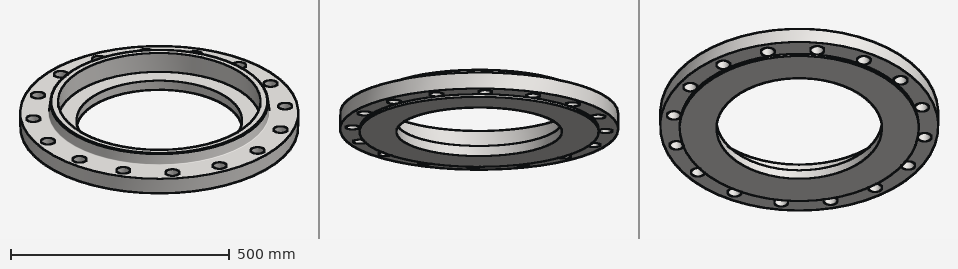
import cadquery as cq

flange_diameter = 635.0
flange_thickness = 38.0

face_diameter = 546.0
face_height = 6.5

hub_base_diameter = 503.5
hub_top_diameter = 497.0
hub_height = 28.5
hub_chamfer = 2.0
hub_base_fillet = 2.0

bore_diameter = 378.0
socket_diameter = 462.0
lip_thickness = 24.0

bolt_count = 16
bolt_circle_diameter = 578.0
bolt_hole_diameter = 32.0

bottom_z = -face_height
lip_z = bottom_z + lip_thickness
hub_base_z = flange_thickness
top_z = hub_base_z + hub_height


def make_ring():
    """Revolve the half section of plate, raised face, hub and stepped bore."""
    section = [
        (bore_diameter / 2, bottom_z),
        (face_diameter / 2, bottom_z),
        (face_diameter / 2, 0),
        (flange_diameter / 2, 0),
        (flange_diameter / 2, hub_base_z),
        (hub_base_diameter / 2, hub_base_z),
        (hub_top_diameter / 2, top_z - hub_chamfer),
        (hub_top_diameter / 2 - hub_chamfer, top_z),
        (socket_diameter / 2, top_z),
        (socket_diameter / 2, lip_z),
        (bore_diameter / 2, lip_z),
    ]
    return cq.Workplane("XZ").polyline(section).close().revolve(360, (0, 0, 0), (0, 1, 0))


def fillet_hub_base(ring):
    """Round the corner where the hub meets the top of the plate."""
    plate_top = ring.faces("+Z").faces(">Z[-2]")
    hub_base_edge = plate_top.edges(cq.selectors.RadiusNthSelector(0))
    return hub_base_edge.fillet(hub_base_fillet)


def drill_bolt_holes(ring):
    """Cut the evenly spaced bolt holes through the plate."""
    drills = (
        cq.Workplane("XY")
        .polarArray(bolt_circle_diameter / 2, 0, 360, bolt_count)
        .circle(bolt_hole_diameter / 2)
        .extrude(flange_thickness)
    )
    return ring.cut(drills)


result = drill_bolt_holes(fillet_hub_base(make_ring()))